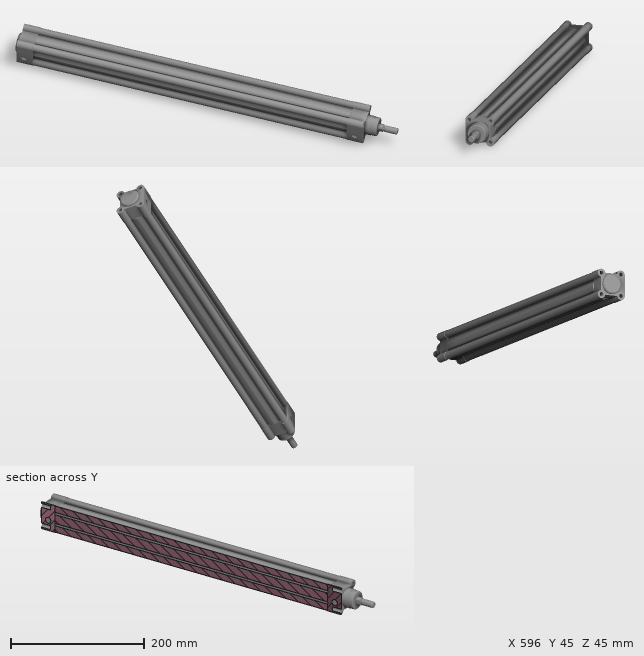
import cadquery as cq


total_length = 596.0
boss_length = 4.0
cap_length = 25.0
rod_shoulder_reach = 26.0
thread_length = 22.0
collar_length = 9.5
nose_reach = 18.5
tube_length = total_length - boss_length - 2 * cap_length - rod_shoulder_reach - thread_length

rear_cap_start = boss_length
tube_start = rear_cap_start + cap_length
front_cap_start = tube_start + tube_length
front_face = front_cap_start + cap_length
nose_end = front_face + nose_reach
rod_shoulder = front_face + rod_shoulder_reach

cap_half_width = 22.5
bolt_spacing = 33.0
bolt_offset = bolt_spacing / 2
cap_lobe_radius = cap_half_width - bolt_offset
waist_inset = 5.65
waist_half_width = cap_half_width - waist_inset
bolt_hole_diameter = 6.0
bolt_hole_depth = 16.0
port_diameter = 9.0
port_depth = 7.0
port_height = -5.5

collar_radius = 15.0
boss_chamfer = 1.5
nose_radius = 14.5
nose_fillet = 1.0

tube_lobe_radius = 5.65
tube_core_half_width = 15.0
rib_crest = 18.5
rib_roof_half_width = 4.4
rib_roof_drop = 0.95
rib_half_width = 8.0
rib_shoulder_drop = 1.1

rod_radius = 6.0
flat_start_reach = 20.0
flat_half_width = 5.0
thread_radius = 4.95
relief_radius = 4.0
relief_length = 2.0
thread_end_chamfer = 0.9


def section_plane(x):
    """Plane across the cylinder at x, facing +X, with its own axes along Y and Z."""
    return cq.Workplane("YZ", origin=(x, 0, 0))


def round_bar(start, end, radius):
    return section_plane(start).circle(radius).extrude(end - start)


def corner_points():
    return [(y, z) for y in (-bolt_offset, bolt_offset) for z in (-bolt_offset, bolt_offset)]


def corner_cylinders(start, length, radius):
    return section_plane(start).pushPoints(corner_points()).circle(radius).extrude(length)


def cap_block(start, bolt_face, bolt_direction):
    """Cap with four bolt lobes, a full-width port side at -Y and three recessed sides."""
    block = section_plane(start).rect(2 * waist_half_width, 2 * waist_half_width).extrude(cap_length)
    block = block.union(corner_cylinders(start, cap_length, cap_lobe_radius))
    port_side = cq.Workplane("XY").box(
        cap_length, cap_half_width, 2 * bolt_offset, centered=(False, False, True)
    ).translate((start, -cap_half_width, 0))
    block = block.union(port_side)
    bolt_holes = corner_cylinders(bolt_face, bolt_direction * bolt_hole_depth, bolt_hole_diameter / 2)
    port = (
        cq.Workplane("XZ", origin=(start + cap_length / 2, -cap_half_width, port_height))
        .circle(port_diameter / 2)
        .extrude(-port_depth)
    )
    return block.cut(bolt_holes).cut(port)


def make_rear_cap():
    boss = round_bar(0, rear_cap_start, collar_radius).faces("<X").chamfer(boss_chamfer)
    return cap_block(rear_cap_start, rear_cap_start, 1).union(boss)


def make_front_cap():
    collar = round_bar(front_face, front_face + collar_length, collar_radius)
    nose = round_bar(front_face, nose_end, nose_radius).faces(">X").edges().fillet(nose_fillet)
    return cap_block(front_cap_start, front_face, -1).union(collar).union(nose)


def tube_rib():
    """Roof-shaped rib along the +Z side of the tube."""
    roof_edge = rib_crest - rib_roof_drop
    shoulder_edge = roof_edge - rib_shoulder_drop
    return (
        section_plane(tube_start)
        .moveTo(-rib_half_width, 0)
        .lineTo(-rib_half_width, shoulder_edge)
        .lineTo(-rib_roof_half_width, roof_edge)
        .lineTo(0, rib_crest)
        .lineTo(rib_roof_half_width, roof_edge)
        .lineTo(rib_half_width, shoulder_edge)
        .lineTo(rib_half_width, 0)
        .close()
        .extrude(tube_length)
    )


def make_tube():
    core_width = 2 * tube_core_half_width
    tube = section_plane(tube_start).rect(core_width, core_width).extrude(tube_length)
    tube = tube.union(corner_cylinders(tube_start, tube_length, tube_lobe_radius))
    for angle in (0, 90, 180, 270):
        tube = tube.union(tube_rib().rotate((0, 0, 0), (1, 0, 0), angle))
    return tube


def make_rod():
    """Rod end seated on the nose: shank with two wrench flats, thread relief and thread."""
    shank = round_bar(nose_end, rod_shoulder, rod_radius)
    flat_start = front_face + flat_start_reach
    for side in (-1, 1):
        flat_cut = cq.Workplane("XY").box(
            rod_shoulder - flat_start, rod_radius, 2 * rod_radius, centered=(False, True, True)
        ).translate((flat_start, side * (flat_half_width + rod_radius / 2), 0))
        shank = shank.cut(flat_cut)
    relief = round_bar(rod_shoulder, rod_shoulder + relief_length, relief_radius)
    thread = round_bar(rod_shoulder + relief_length, total_length, thread_radius)
    thread = thread.faces("<X").chamfer(thread_radius - relief_radius)
    thread = thread.faces(">X").chamfer(thread_end_chamfer)
    return shank.union(relief).union(thread)


rear_cap = make_rear_cap()
tube = make_tube()
front_cap = make_front_cap()
rod = make_rod()

bodies = [rear_cap, tube, front_cap, rod]
result = cq.Compound.makeCompound([body.solids().val() for body in bodies])